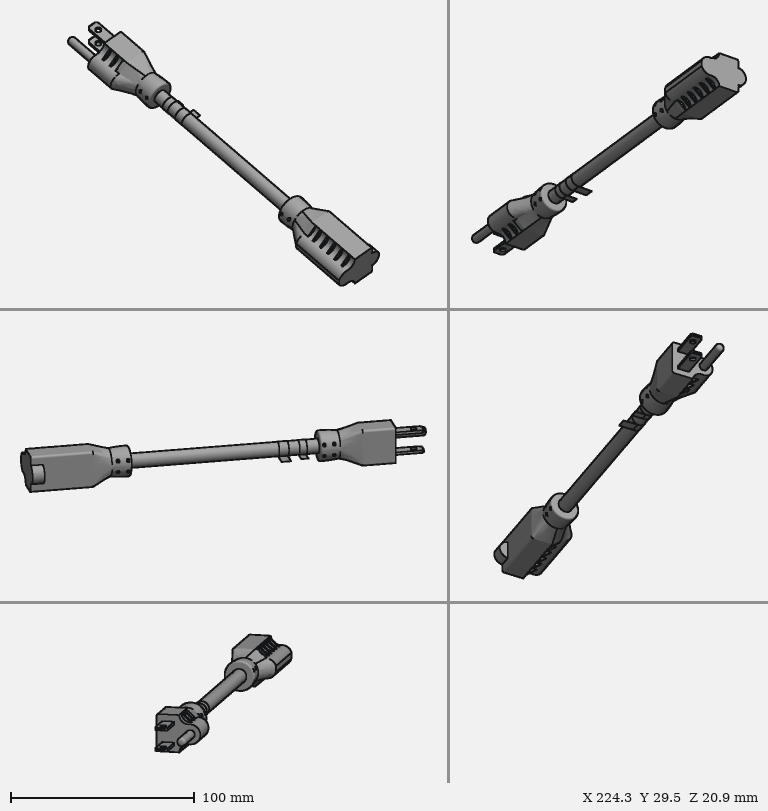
import cadquery as cq
import math

total_length = 224.3

body_height = 20.9
half_height = body_height / 2
back_y = 9.5
nose_radius = 5.5
nose_y = -9.6
shoulder_top_y = -3.4
shoulder_low_y = nose_y + 0.7
shoulder_low_z = math.sqrt(nose_radius**2 - (shoulder_low_y - nose_y) ** 2)
back_corner_radius = 1.3

plug_body_length = 18.5
plug_taper_length = 12.0
receptacle_body_length = 34.8
receptacle_taper_length = 11.0

grip_wall = 3.0
grip_first_rib = 4.3
grip_rib_pitch = 5.8
grip_rib_width = 1.1
scoop_depth = 1.5
plug_ribs = 2
receptacle_ribs = 5

neck_length = 11.0
neck_small_radius = 7.8
neck_large_radius = 8.5
neck_rounding = 1.1
taper_shoulder_top_angle = 5
taper_shoulder_low_angle = 52
taper_corner_top_angle = 47
taper_corner_side_angle = 57

dimple_diameter = 1.5
dimple_floor_y = 6.5
dimple_z = 3.1
dimple_offsets = (2.0, 7.6)

plug_face_x = 20.9
pin_radius = 2.5
pin_tip_radius = 1.8
blade_length = 16.8
blade_width = 6.7
blade_thickness = 1.5
blade_y = 2.7
blade_z = 5.8
blade_corner_chamfer = 1.3
blade_edge_chamfer = 0.5
blade_hole_diameter = 3.4
blade_hole_offset = 5.4

nose_flat_width = 3.4
lug_radius = 5.4
lug_tip_y = 14.4
lug_length = 6.7

cord_radius = 4.0
label_thickness = 0.1
labels = ((69.0, 4.0, 7.5), (79.2, 5.4, 9.5))


def x_cylinder(radius, start, length, y=0.0, z=0.0):
    """Cylinder whose axis is parallel to X."""
    return cq.Workplane("YZ", origin=(start, y, z)).circle(radius).extrude(length)


def body_section(x):
    """Closed outline of the connector cross-section at x."""
    corner = back_corner_radius
    inset = corner * (1 - math.sqrt(0.5))
    return (
        cq.Workplane("YZ", origin=(x, 0, 0))
        .moveTo(back_y - corner, half_height)
        .lineTo(shoulder_top_y, half_height)
        .lineTo(shoulder_low_y, shoulder_low_z)
        .threePointArc((nose_y - nose_radius, 0), (shoulder_low_y, -shoulder_low_z))
        .lineTo(shoulder_top_y, -half_height)
        .lineTo(back_y - corner, -half_height)
        .threePointArc((back_y - inset, inset - half_height), (back_y, corner - half_height))
        .lineTo(back_y, half_height - corner)
        .threePointArc((back_y - inset, half_height - inset), (back_y - corner, half_height))
        .close()
    )


def neck_section(x):
    """Neck circle at x, split into arcs that pair with the edges of the body section."""
    def on_circle(angle):
        radians = math.radians(angle)
        return (-neck_small_radius * math.sin(radians), neck_small_radius * math.cos(radians))

    angles = [
        -taper_corner_top_angle,
        taper_shoulder_top_angle,
        taper_shoulder_low_angle,
        180 - taper_shoulder_low_angle,
        180 - taper_shoulder_top_angle,
        180 + taper_corner_top_angle,
        180 + taper_corner_side_angle,
        360 - taper_corner_side_angle,
        360 - taper_corner_top_angle,
    ]
    section = cq.Workplane("YZ", origin=(x, 0, 0)).moveTo(*on_circle(angles[0]))
    for start, end in zip(angles, angles[1:]):
        section = section.threePointArc(on_circle((start + end) / 2), on_circle(end))
    return section.close()


def make_taper(start, length):
    """Ruled transition from the body section to the round neck."""
    wires = [body_section(start).val(), neck_section(start + length).val()]
    return cq.Workplane(cq.Solid.makeLoft(wires, True))


def make_neck(start):
    """Flared round neck with a rounded rim and dimples in its -Y and +Y sides."""
    end = start + neck_length
    neck = (
        cq.Workplane("XY")
        .moveTo(start, 0)
        .lineTo(end, 0)
        .lineTo(end, neck_large_radius - neck_rounding)
        .tangentArcPoint((end - neck_rounding, neck_large_radius), relative=False)
        .tangentArcPoint((start, neck_small_radius), relative=False)
        .close()
        .revolve(360, (0, 0, 0), (1, 0, 0))
    )
    for offset in dimple_offsets:
        for z in (-dimple_z, dimple_z):
            bore = cq.Workplane("XZ", origin=(end - offset, 0, z)).circle(dimple_diameter / 2)
            bore = bore.extrude(neck_large_radius, both=True)
            solid_core = cq.Workplane("XY").box(2 * end, 2 * dimple_floor_y, 2 * neck_large_radius)
            neck = neck.cut(bore.cut(solid_core))
    return neck


def make_grip_cutter(grip_length, rib_count):
    """Concave scoop along the upper shoulder, interrupted by ribs."""
    run = shoulder_top_y - shoulder_low_y
    drop = half_height - shoulder_low_z
    half_chord = math.hypot(run, drop) / 2
    scoop_radius = (half_chord**2 + scoop_depth**2) / (2 * scoop_depth)
    standoff = (scoop_radius - scoop_depth) / math.hypot(run, drop)
    scoop_y = (shoulder_top_y + shoulder_low_y) / 2 - standoff * drop
    scoop_z = (half_height + shoulder_low_z) / 2 + standoff * run
    cutter = x_cylinder(scoop_radius, 0, grip_length, scoop_y, scoop_z)
    for index in range(rib_count):
        rib_x = grip_length - grip_first_rib - index * grip_rib_pitch
        rib = cq.Workplane("XY", origin=(rib_x, scoop_y, scoop_z))
        cutter = cutter.cut(rib.box(grip_rib_width, 3 * scoop_radius, 3 * scoop_radius))
    return cutter


def make_connector(body_length, taper_length, rib_count):
    """Connector shell with its mating face at X = 0 and its neck toward +X."""
    body = body_section(0).extrude(body_length)
    cutter = make_grip_cutter(body_length - grip_wall, rib_count)
    body = body.cut(cutter).cut(cutter.mirror("XY"))
    taper = make_taper(body_length, taper_length)
    return body.union(taper).union(make_neck(body_length + taper_length))


def make_blade(z):
    """Flat contact blade with clipped corners, thinned tip and a hole."""
    tip_x = plug_face_x - blade_length
    blade = (
        cq.Workplane("XY", origin=(tip_x + blade_length / 2, blade_y, z))
        .box(blade_length, blade_width, blade_thickness)
        .edges("<X and |Z").chamfer(blade_corner_chamfer)
        .faces("<X").edges("|Y").chamfer(blade_edge_chamfer)
    )
    hole = cq.Workplane("XY", origin=(tip_x + blade_hole_offset, blade_y, z))
    return blade.cut(hole.circle(blade_hole_diameter / 2).extrude(blade_thickness, both=True))


def make_plug():
    plug = make_connector(plug_body_length, plug_taper_length, plug_ribs).translate((plug_face_x, 0, 0))
    ground_pin = x_cylinder(pin_radius, 0, plug_face_x, nose_y).faces("<X").edges().fillet(pin_tip_radius)
    plug = plug.union(ground_pin)
    for z in (-blade_z, blade_z):
        plug = plug.union(make_blade(z))
    return plug


def make_receptacle():
    shell = make_connector(receptacle_body_length, receptacle_taper_length, receptacle_ribs)
    flat_y = nose_y - math.sqrt(nose_radius**2 - (nose_flat_width / 2) ** 2)
    flat_cutter = cq.Workplane("XY").box(
        receptacle_body_length, nose_radius, 2 * nose_radius, centered=(False, False, True)
    )
    shell = shell.cut(flat_cutter.translate((0, flat_y - nose_radius, 0)))
    shell = shell.union(x_cylinder(lug_radius, 0, lug_length, lug_tip_y - lug_radius))
    return shell.mirror("YZ").translate((total_length, 0, 0))


def make_cord():
    """Cord between the two necks, with its wrapped flag labels."""
    start = plug_face_x + plug_body_length + plug_taper_length + neck_length
    end = total_length - receptacle_body_length - receptacle_taper_length - neck_length
    cord = x_cylinder(cord_radius, start, end - start)
    wrap_radius = cord_radius + label_thickness
    for label_x, label_width, flag_reach in labels:
        wrap = x_cylinder(wrap_radius, label_x, label_width)
        flag = cq.Workplane("XY", origin=(label_x, 0, -wrap_radius)).box(
            label_width, flag_reach, label_thickness, centered=False
        )
        cord = cord.union(wrap).union(flag)
    return cord


plug = make_plug()
cord = make_cord()
receptacle = make_receptacle()

result = cq.Compound.makeCompound([plug.val(), cord.val(), receptacle.val()])